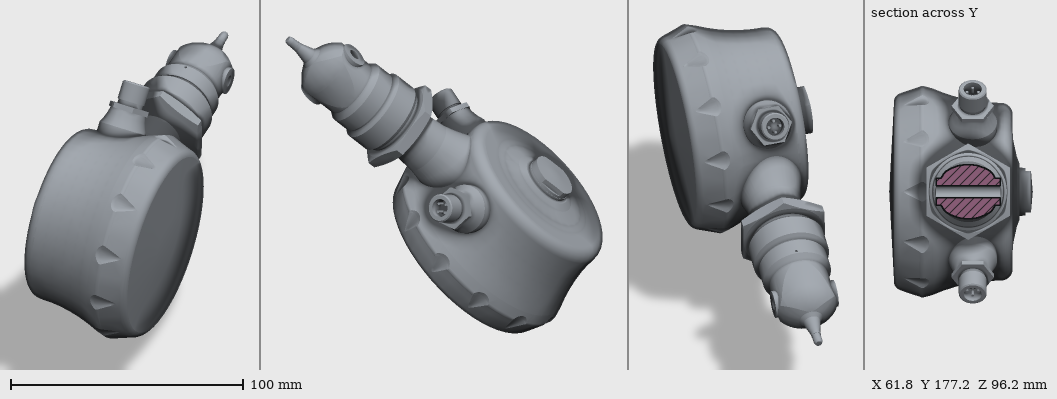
import cadquery as cq
import math


body_face_x = -19.1
body_flat_radius = 33.3
hub_dish_radius = 25.7
body_edge_round = 5.0
waist_x = body_face_x + body_edge_round
waist_radius = body_flat_radius + body_edge_round
rim_start = (14.9, 44.3)
crest_start = (18.8, 45.5)
crest_top = (19.7, 45.7)
crest_end = (20.9, 45.4)
rim_edge = (29.5, 42.3)
rim_back = (31.9, 39.5)
back_center_x = 34.0

hub_seat_x = -22.1
hub_radius = 15.2
hub_slope_x = -20.9
hub_dish_mid = (-19.8, 19.5)
hub_seat_radius = 11.9
button_radius = 10.3
button_collar_radius = 10.5
button_collar_x = -23.4
button_tip_x = -27.8
button_rim_x = -27.0
button_flat_depth = 2.3
button_flats = 17.7

scallop_count = 12
scallop_ball_radius = 8.0
scallop_ball_center = (19.8, 52.3)
scallop_point = (28.0, 42.7)

neck_start_y = 31.9
neck_root_radius = 17.5
neck_flare_mid = (14.0, 41.1)
neck_blend_y = 49.6
neck_blend_radius = 11.9
neck_radius = 11.2
neck_end_y = 58.8
nut_back_y = 61.0
nut_front_y = 68.5
nut_flats = 36.0
nut_corner_radius = nut_flats / math.sqrt(3)
nut_turn = 30
nut_front_land = 17.7
nut_front_chamfer = 1.0
nut_back_taper = 3.2
collar_radius = 15.0
groove_radius = 14.5
groove_width = 0.9
sleeve_radius = 16.7
sleeve_start_y = 72.1
sleeve_end_y = 81.7
sleeve_chamfer = 1.8
collar_end_y = 91.8
head_start_y = 94.6
head_radius = 13.1
dome_start_y = 107.7
dome_start_radius = 11.5
dome_end_y = 117.5
dome_end_radius = 5.1
stem_base_y = 119.0
stem_base_radius = 3.7
stem_top_y = 125.5
stem_top_radius = 2.1
tip_start_y = 127.0
tip_end_y = 131.7
tip_radius = 2.0
tip_round_start_y = 129.9
tip_end_radius = 1.5

head_shoulder_y = 111.1
head_nose_mid = (9.0, 115.2)
crown_offset = 5.3
boss_y = 105.3
boss_diameter = 11.7
boss_span = 27.6
cross_hole_diameter = 5.0
dimple_y = 90.7
dimple_diameter = 1.2
dimple_depth = 0.9

plug_tilt = 45
plug_x = -2.0
plug_start = 26.5
plug_base_radius = 10.5
plug_base_end = 42.3
plug_hex_start = 50.0
plug_hex_end = 52.3
plug_hex_flats = 15.8
plug_cone_radius = 7.8
plug_cone_mid = (8.7, 46.5)
plug_groove_radius = 5.5
plug_groove_end = 54.2
plug_radius = 6.0
plug_end = 62.5
plug_chamfer = 0.5
socket_diameter = 7.8
socket_depth = 7.0
pin_diameter = 1.2
pin_height = 5.3
pin_count = 4
pin_circle_radius = 2.5


def revolve_about_x(profile):
    return profile.close().revolve(360, (0, 0), (1, 0))


def revolve_about_y(profile):
    return profile.close().revolve(360, (0, 0), (0, 1))


def cylinder_along_x(diameter, length, y):
    return cq.Workplane("YZ").center(y, 0).circle(diameter / 2).extrude(length / 2, both=True)


def make_body():
    edge_mid = body_edge_round * math.sqrt(0.5)
    profile = (
        cq.Workplane("XY")
        .moveTo(hub_seat_x, 0)
        .lineTo(hub_seat_x, hub_seat_radius)
        .lineTo(hub_slope_x, hub_radius)
        .threePointArc(hub_dish_mid, (body_face_x, hub_dish_radius))
        .lineTo(body_face_x, body_flat_radius)
        .threePointArc((waist_x - edge_mid, body_flat_radius + edge_mid), (waist_x, waist_radius))
        .tangentArcPoint(rim_start, relative=False)
        .lineTo(*crest_start)
        .threePointArc(crest_top, crest_end)
        .lineTo(*rim_edge)
        .tangentArcPoint(rim_back, relative=False)
        .lineTo(back_center_x, 0)
    )
    return revolve_about_x(profile)


def make_button():
    profile = (
        cq.Workplane("XY")
        .moveTo(button_tip_x, 0)
        .lineTo(button_rim_x, button_radius)
        .lineTo(button_collar_x, button_radius)
        .lineTo(button_collar_x, button_collar_radius)
        .lineTo(hub_seat_x, button_collar_radius)
        .lineTo(hub_seat_x, 0)
    )
    button = revolve_about_x(profile)
    flat_end_x = button_rim_x + button_flat_depth
    for side in (1, -1):
        cutter = cq.Workplane("XY").box(2 * (flat_end_x - button_tip_x), 2 * button_radius, button_radius)
        cutter_center = (button_tip_x, 0, side * (button_flats + button_radius) / 2)
        button = button.cut(cutter.translate(cutter_center))
    return button


def make_scallop():
    center_x, center_r = scallop_ball_center
    dx = scallop_point[0] - center_x
    dr = scallop_point[1] - center_r
    reach = math.hypot(dx, dr)
    tangent_along = scallop_ball_radius**2 / reach
    tangent_out = math.sqrt(scallop_ball_radius**2 - tangent_along**2)
    profile = (
        cq.Workplane("XY")
        .moveTo(-scallop_ball_radius, 0)
        .threePointArc((0, scallop_ball_radius), (tangent_along, tangent_out))
        .lineTo(reach, 0)
    )
    cutter = revolve_about_x(profile)
    tilt = math.degrees(math.atan2(dr, dx))
    return cutter.rotate((0, 0, 0), (0, 0, 1), tilt).translate((center_x, center_r, 0))


def make_neck():
    profile = (
        cq.Workplane("XY")
        .moveTo(0, neck_start_y)
        .lineTo(neck_root_radius, neck_start_y)
        .threePointArc(neck_flare_mid, (neck_blend_radius, neck_blend_y))
        .lineTo(neck_radius, neck_end_y)
        .lineTo(neck_radius, nut_back_y)
        .lineTo(0, nut_back_y)
    )
    return revolve_about_y(profile)


def make_nut():
    height = nut_front_y - nut_back_y
    blank = (
        cq.Workplane("XZ", origin=(0, nut_front_y, 0))
        .polygon(6, 2 * nut_corner_radius)
        .extrude(height)
        .rotate((0, 0, 0), (0, 1, 0), nut_turn)
    )
    profile = (
        cq.Workplane("XY")
        .moveTo(0, nut_back_y)
        .lineTo(neck_radius, nut_back_y)
        .lineTo(nut_corner_radius, nut_back_y + nut_back_taper)
        .lineTo(nut_corner_radius, nut_front_y - nut_front_chamfer)
        .lineTo(nut_front_land, nut_front_y)
        .lineTo(0, nut_front_y)
    )
    return blank.intersect(revolve_about_y(profile))


def make_barrel():
    profile = (
        cq.Workplane("XY")
        .moveTo(0, nut_front_y)
        .lineTo(groove_radius, nut_front_y)
        .lineTo(groove_radius, nut_front_y + groove_width)
        .lineTo(collar_radius, nut_front_y + groove_width)
        .lineTo(collar_radius, sleeve_start_y - sleeve_chamfer)
        .lineTo(sleeve_radius, sleeve_start_y)
        .lineTo(sleeve_radius, sleeve_end_y)
        .lineTo(groove_radius, sleeve_end_y + sleeve_chamfer)
        .lineTo(groove_radius, sleeve_end_y + sleeve_chamfer + groove_width)
        .lineTo(collar_radius, sleeve_end_y + sleeve_chamfer + groove_width)
        .lineTo(collar_radius, collar_end_y)
        .lineTo(head_radius, head_start_y)
        .lineTo(0, head_start_y)
    )
    dimple = (
        cq.Workplane("XY", origin=(0, dimple_y, collar_radius))
        .circle(dimple_diameter / 2)
        .extrude(dimple_depth, both=True)
    )
    return revolve_about_y(profile).cut(dimple)


def make_crown():
    profile = (
        cq.Workplane("XY")
        .moveTo(0, head_start_y)
        .lineTo(crown_offset + head_radius, head_start_y)
        .lineTo(crown_offset + dome_start_radius, dome_start_y)
        .tangentArcPoint((crown_offset + dome_end_radius, dome_end_y), relative=False)
        .lineTo(0, dome_end_y)
    )
    return revolve_about_y(profile).translate((0, 0, -crown_offset))


def make_head():
    profile = (
        cq.Workplane("XY")
        .moveTo(0, head_start_y)
        .lineTo(head_radius, head_start_y)
        .lineTo(head_radius, head_shoulder_y)
        .threePointArc(head_nose_mid, (dome_end_radius, dome_end_y))
        .lineTo(0, dome_end_y)
    )
    crown = make_crown()
    head = revolve_about_y(profile).intersect(crown).intersect(crown.mirror("XY"))
    head = head.union(cylinder_along_x(boss_diameter, boss_span, boss_y))
    return head.cut(cylinder_along_x(cross_hole_diameter, boss_span, boss_y))


def make_tip():
    profile = (
        cq.Workplane("XY")
        .moveTo(0, dome_end_y)
        .lineTo(dome_end_radius, dome_end_y)
        .lineTo(stem_base_radius, stem_base_y)
        .lineTo(stem_top_radius, stem_top_y)
        .lineTo(stem_top_radius, tip_start_y)
        .lineTo(tip_radius, tip_start_y)
        .lineTo(tip_radius, tip_round_start_y)
        .tangentArcPoint((tip_end_radius, tip_end_y), relative=False)
        .lineTo(0, tip_end_y)
    )
    return revolve_about_y(profile)


def make_plug():
    profile = (
        cq.Workplane("XY")
        .moveTo(0, plug_start)
        .lineTo(plug_base_radius, plug_start)
        .lineTo(plug_base_radius, plug_base_end)
        .threePointArc(plug_cone_mid, (plug_cone_radius, plug_hex_start))
        .lineTo(plug_groove_radius, plug_hex_start)
        .lineTo(plug_groove_radius, plug_groove_end)
        .lineTo(plug_radius, plug_groove_end)
        .lineTo(plug_radius, plug_end - plug_chamfer)
        .lineTo(plug_radius - plug_chamfer, plug_end)
        .lineTo(0, plug_end)
    )
    hexagon = (
        cq.Workplane("XZ", origin=(0, plug_hex_end, 0))
        .polygon(6, plug_hex_flats * 2 / math.sqrt(3))
        .extrude(plug_hex_end - plug_hex_start)
    )
    socket = (
        cq.Workplane("XZ", origin=(0, plug_end, 0))
        .circle(socket_diameter / 2)
        .extrude(socket_depth)
    )
    pins = (
        cq.Workplane("XZ", origin=(0, plug_end - socket_depth + pin_height, 0))
        .polarArray(pin_circle_radius, 0, 360, pin_count)
        .circle(pin_diameter / 2)
        .extrude(pin_height)
    )
    plug = revolve_about_y(profile).union(hexagon).cut(socket).union(pins)
    return plug.rotate((0, 0, 0), (1, 0, 0), plug_tilt).translate((plug_x, 0, 0))


wheel = make_body()
scallop = make_scallop()
for index in range(scallop_count):
    wheel = wheel.cut(scallop.rotate((0, 0, 0), (1, 0, 0), index * 360 / scallop_count))

plug = make_plug()

result = wheel.union(make_button()).union(make_neck()).union(make_nut()).union(make_barrel())
result = result.union(make_head()).union(make_tip())
result = result.union(plug).union(plug.mirror("XY"))